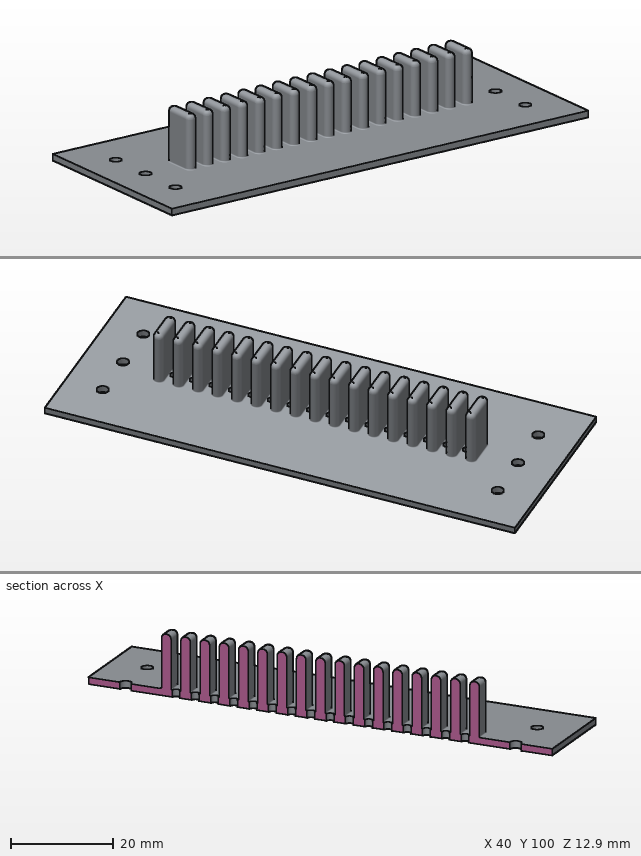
import cadquery as cq

plate_width = 40.0
plate_length = 100.0
plate_thickness = 1.5
plate_bottom_radius = 0.25

mount_hole_diameter = 2.4
mount_hole_pitch = 10.0
mount_holes_per_row = 3
mount_row_offset = 42.0

total_height = 12.9
fin_count = 17
fin_pitch = 4.15
fin_length = 7.4
fin_thickness = 2.15
fin_corner_radius = 1.07
fin_top_radius = 1.0
fin_foot_radius = 0.25

vent_diameter = 1.6
vent_count = fin_count - 1


def centred_steps(count, pitch):
    """Evenly spaced coordinates, centred on zero."""
    return [(index - (count - 1) / 2) * pitch for index in range(count)]


def make_plate():
    plate = cq.Workplane("XY").rect(plate_width, plate_length).extrude(plate_thickness)
    return plate.faces("<Z").edges().fillet(plate_bottom_radius)


def add_fins(plate):
    fins = (
        cq.Workplane("XY")
        .pushPoints([(0, y) for y in centred_steps(fin_count, fin_pitch)])
        .rect(fin_length, fin_thickness)
        .extrude(total_height)
        .edges("|Z").fillet(fin_corner_radius)
        .faces(">Z").edges().fillet(fin_top_radius)
    )
    row_half_length = fin_count * fin_pitch / 2
    foot_edges = cq.selectors.BoxSelector(
        (-fin_length, -row_half_length, plate_thickness - fin_foot_radius),
        (fin_length, row_half_length, plate_thickness + fin_foot_radius),
    )
    return plate.union(fins).edges(foot_edges).fillet(fin_foot_radius)


def cut_holes(body, positions, diameter):
    """Cut round holes upwards through the plate and any fin foot they touch."""
    cutters = (
        cq.Workplane("XY")
        .pushPoints(positions)
        .circle(diameter / 2)
        .extrude(plate_thickness + fin_foot_radius)
    )
    return body.cut(cutters)


mount_positions = [
    (x, y)
    for x in centred_steps(mount_holes_per_row, mount_hole_pitch)
    for y in (-mount_row_offset, mount_row_offset)
]
vent_positions = [(0, y) for y in centred_steps(vent_count, fin_pitch)]

finned_plate = add_fins(make_plate())
mountable_plate = cut_holes(finned_plate, mount_positions, mount_hole_diameter)
result = cut_holes(mountable_plate, vent_positions, vent_diameter)